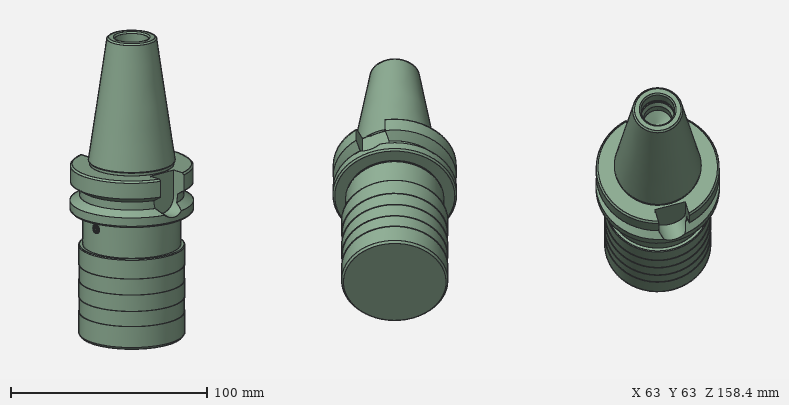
import cadquery as cq
import math

length = 158.4

gauge_z = 93.0
gauge_radius = 22.2
taper_ratio = 7 / 24
tip_chamfer = 0.8
relief_radius = 21.5
relief_bevel = 0.6

flange_radius = 31.5
upper_rim_radius = 31.4
flange_top_z = 91.0
flange_bottom_z = 66.2
flange_top_chamfer = 1.0
flange_bottom_chamfer = 1.0
groove_radius = 26.6
groove_top_z = 81.5
groove_floor_top_z = 78.5
groove_floor_bottom_z = 74.3
groove_bottom_z = 71.6

neck_radius = 25.0
neck_chamfer = 0.8
neck_top_z = 65.3

sleeve_radius = 27.1
recess_radius = 26.8
sleeve_top_z = 48.2
sleeve_top_chamfer = 0.5
recess_spans = [(37.7, 29.1), (20.5, 12.4)]
bottom_chamfer_height = 1.3
bottom_chamfer_width = 1.0

slot_width = 16.2
slot_floor_x = 22.7
slot_bottom_z = 69.4

socket_radius = 8.5
socket_depth = 9.3
socket_chamfer = 0.8
undercut_radius = 9.2
undercut_height = 2.5
bore_radius = 7.3
bore_depth = 15.8
step_height = 2.0
drill_point_angle = 118

screw_z = 61.3
screw_steps = [(2.4, 0.8), (1.9, 1.6), (1.3, 2.4), (0.6, 5.0)]


def make_body():
    """Revolve the outer outline of the holder about Z."""
    tip_radius = gauge_radius - (length - gauge_z) * taper_ratio / 2
    outline = [
        (0, 0),
        (sleeve_radius - bottom_chamfer_width, 0),
        (sleeve_radius, bottom_chamfer_height),
    ]
    for top_z, bottom_z in reversed(recess_spans):
        outline += [
            (sleeve_radius, bottom_z),
            (recess_radius, bottom_z),
            (recess_radius, top_z),
            (sleeve_radius, top_z),
        ]
    outline += [
        (sleeve_radius, sleeve_top_z - sleeve_top_chamfer),
        (sleeve_radius - sleeve_top_chamfer, sleeve_top_z),
        (neck_radius, sleeve_top_z),
        (neck_radius, neck_top_z - neck_chamfer),
        (neck_radius - neck_chamfer, neck_top_z),
        (neck_radius - neck_chamfer, flange_bottom_z),
        (flange_radius - flange_bottom_chamfer, flange_bottom_z),
        (flange_radius, flange_bottom_z + flange_bottom_chamfer),
        (flange_radius, groove_bottom_z),
        (groove_radius, groove_floor_bottom_z),
        (groove_radius, groove_floor_top_z),
        (upper_rim_radius, groove_top_z),
        (upper_rim_radius, flange_top_z - flange_top_chamfer),
        (upper_rim_radius - flange_top_chamfer, flange_top_z),
        (relief_radius, flange_top_z),
        (relief_radius, gauge_z - relief_bevel),
        (gauge_radius, gauge_z),
        (tip_radius + tip_chamfer * taper_ratio / 2, length - tip_chamfer),
        (tip_radius - tip_chamfer, length),
        (0, length),
    ]
    return cq.Workplane("XZ").polyline(outline).close().revolve(360, (0, 0, 0), (0, 1, 0))


def make_socket():
    """Revolved cutter: chamfered counterbore with an undercut, bevelled step, bore with a drill point."""
    point_height = bore_radius / math.tan(math.radians(drill_point_angle / 2))
    outline = [
        (0, length),
        (socket_radius + socket_chamfer, length),
        (socket_radius, length - socket_chamfer),
        (socket_radius, length - socket_depth + undercut_height),
        (undercut_radius, length - socket_depth + undercut_height),
        (undercut_radius, length - socket_depth),
        (socket_radius, length - socket_depth),
        (bore_radius, length - socket_depth - step_height),
        (bore_radius, length - bore_depth),
        (0, length - bore_depth - point_height),
    ]
    return cq.Workplane("XZ").polyline(outline).close().revolve(360, (0, 0, 0), (0, 1, 0))


def make_drive_slot(side):
    """Round-bottomed slot cutter, open at the flange top; side is +1 or -1 along X."""
    arc_z = slot_bottom_z + slot_width / 2
    cutter = (
        cq.Workplane("YZ")
        .moveTo(-slot_width / 2, gauge_z)
        .lineTo(-slot_width / 2, arc_z)
        .threePointArc((0, slot_bottom_z), (slot_width / 2, arc_z))
        .lineTo(slot_width / 2, gauge_z)
        .close()
        .extrude(side * flange_radius)
    )
    return cutter.translate((side * slot_floor_x, 0, 0))


def make_screw_hole():
    """Stepped radial hole cutter running inward from the -Y side of the neck."""
    overrun = 1.6
    mouth = cq.Workplane("XZ", origin=(0, -neck_radius - overrun, screw_z))
    hole = cq.Workplane("XZ")
    for radius, depth in screw_steps:
        hole = hole.union(mouth.circle(radius).extrude(-(depth + overrun)))
    return hole


result = make_body().cut(make_socket()).cut(make_screw_hole())
for side in (1, -1):
    result = result.cut(make_drive_slot(side))